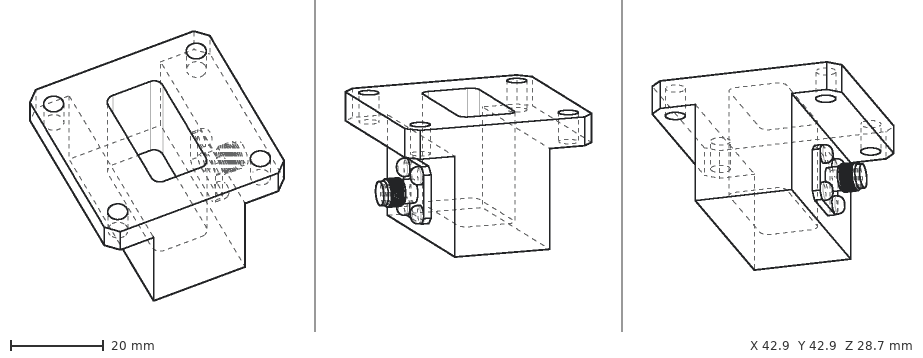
import cadquery as cq
import math

flange_side = 42.88
total_height = 28.7
flange_thickness = 6.4
flange_corner_chamfer = 2.6
body_depth = 21.8

bolt_hole_diameter = 4.3
bolt_spacing_x = 32.5
bolt_spacing_y = 34.0

guide_width = 25.9
guide_height = 12.95
guide_corner_radius = 2.0
guide_floor = (body_depth - guide_height) / 2

connector_z = 10.16
plate_side = 12.7
plate_thickness = 1.7
plate_corner_circle_diameter = 15.9
neck_diameter = 5.26
nose_diameter = 5.34
nose_taper_length = 0.2
connector_end_y = 20.4

thread_diameter = 6.2
thread_start_y = 15.98
groove_pitch = 0.472
groove_count = 6
groove_depth = 0.35
thread_lead_in = 0.6
thread_run_out = 0.52
thread_shoulder_diameter = 5.5

screw_spacing = 8.6
screw_head_diameter = 3.97
screw_rim_height = 0.6
screw_head_rounding = 1.5

body_face_y = body_depth / 2
plate_face_y = body_face_y + plate_thickness


def make_flange():
    """Square plate with cut corners, its top at the full height."""
    return (
        cq.Workplane("XY")
        .workplane(offset=total_height - flange_thickness)
        .rect(flange_side, flange_side)
        .extrude(flange_thickness)
        .edges("|Z")
        .chamfer(flange_corner_chamfer)
    )


def make_body():
    """Block below the flange, as wide as the flange in X."""
    return (
        cq.Workplane("XY")
        .rect(flange_side, body_depth)
        .extrude(total_height - flange_thickness)
    )


def make_bolt_holes():
    """Four through holes near the flange corners."""
    return (
        cq.Workplane("XY")
        .rect(bolt_spacing_x, bolt_spacing_y, forConstruction=True)
        .vertices()
        .circle(bolt_hole_diameter / 2)
        .extrude(total_height)
    )


def make_guide():
    """Waveguide cavity, open at the top and closed by the floor."""
    return (
        cq.Workplane("XY")
        .workplane(offset=guide_floor)
        .rect(guide_width, guide_height)
        .extrude(total_height - guide_floor)
        .edges("|Z")
        .fillet(guide_corner_radius)
    )


def make_plate():
    """Square connector plate on the body's +Y face, its corners trimmed to a common circle."""
    plate = cq.Workplane("XY").box(plate_side, plate_thickness, plate_side)
    corner_disc = (
        cq.Workplane("XZ")
        .circle(plate_corner_circle_diameter / 2)
        .extrude(plate_thickness / 2, both=True)
    )
    return plate.intersect(corner_disc).translate((0, body_face_y + plate_thickness / 2, connector_z))


def make_barrel():
    """Neck, grooved thread and tapered nose, turned about the connector axis along Y."""
    neck_radius = neck_diameter / 2
    nose_radius = nose_diameter / 2
    shoulder_radius = thread_shoulder_diameter / 2
    crest_radius = thread_diameter / 2
    thread_end_y = thread_start_y + groove_count * groove_pitch

    profile = (
        cq.Workplane("XY")
        .moveTo(0, body_face_y)
        .lineTo(neck_radius, body_face_y)
        .lineTo(neck_radius, thread_start_y - thread_lead_in)
        .lineTo(shoulder_radius, thread_start_y - thread_lead_in)
        .lineTo(crest_radius, thread_start_y)
    )
    for index in range(groove_count):
        groove_y = thread_start_y + index * groove_pitch
        profile = profile.lineTo(crest_radius - groove_depth, groove_y + groove_pitch / 2)
        profile = profile.lineTo(crest_radius, groove_y + groove_pitch)
    return (
        profile.lineTo(nose_radius, thread_end_y + thread_run_out)
        .lineTo(nose_radius, connector_end_y - nose_taper_length)
        .lineTo(neck_radius, connector_end_y)
        .lineTo(0, connector_end_y)
        .close()
        .revolve(360, (0, 0, 0), (0, 1, 0))
        .translate((0, 0, connector_z))
    )


def make_screw_head():
    """Screw head on the Y axis: a short cylindrical rim, rounded over to a small flat top."""
    radius = screw_head_diameter / 2
    flat_radius = radius - screw_head_rounding
    rim_y = plate_face_y + screw_rim_height
    top_y = rim_y + screw_head_rounding
    arc_offset = screw_head_rounding * math.sin(math.radians(45))
    return (
        cq.Workplane("XY")
        .moveTo(0, plate_face_y)
        .lineTo(radius, plate_face_y)
        .lineTo(radius, rim_y)
        .threePointArc((flat_radius + arc_offset, rim_y + arc_offset), (flat_radius, top_y))
        .lineTo(0, top_y)
        .close()
        .revolve(360, (0, 0, 0), (0, 1, 0))
    )


def make_connector():
    """Plate, barrel and the four screw heads at the plate corners."""
    connector = make_plate().union(make_barrel())
    head = make_screw_head()
    for side_x in (-1, 1):
        for side_z in (-1, 1):
            head_x = side_x * screw_spacing / 2
            head_z = connector_z + side_z * screw_spacing / 2
            connector = connector.union(head.translate((head_x, 0, head_z)))
    return connector


housing = make_flange().union(make_body()).cut(make_bolt_holes()).cut(make_guide())
result = housing.union(make_connector())